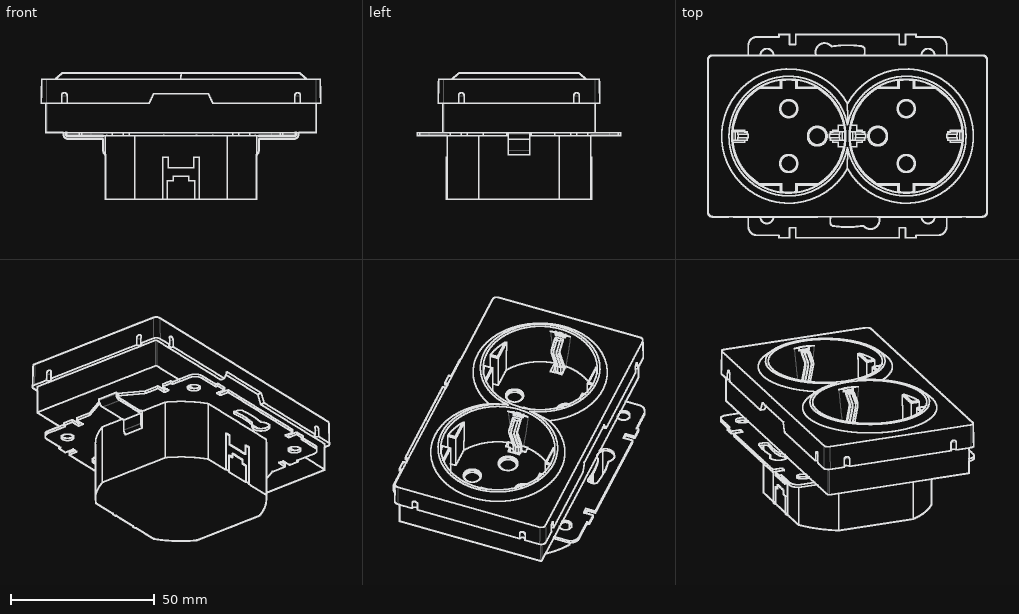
import cadquery as cq
import math

HOUSING_TOP = 22.2
PLATE_TOP = 23.1
BASE_TOP = 33.3
COVER_TOP = 41.8
RIM_TOP = 43.9

HOUSING_RADIUS = 29.7
HOUSING_X = 52.5
HOUSING_Y = 50.0

LATCH_RAISE = 0.3
LATCH_HEIGHT = 14.6
LATCH_WIDTH = 12.6
LATCH_GAP_WIDTH = 8.7
LATCH_GAP_BOTTOM = 11.0
WINDOW_WIDTH = 9.4
WINDOW_HEIGHT = 6.5
WINDOW_STEP_WIDTH = 5.5
WINDOW_STEP_HEIGHT = 8.1

PLATE_SIZE = 70.8
PLATE_BODY = 69.0
PLATE_CORNER = 3.1
LAND_WIDTH = 47.6
NOTCH_WIDTH = 2.0
NOTCH_DEPTH = 3.5
NOTCH_OFFSET = 19.05
SCREW_HOLE_DIAMETER = 4.5
SCREW_HOLE_X = 28.0
SCREW_HOLE_Y = 28.1
TONGUE_REACH = 39.9
TONGUE_ROOT_WIDTH = 24.7
TONGUE_TIP_WIDTH = 8.4

SLOT_INNER_RADIUS = 28.0
SLOT_OUTER_RADIUS = 31.6
SLOT_END_X = 5.9
SLOT_END_ROUND = 1.2
KEYHOLE_X = 8.0
KEYHOLE_Y = 29.2
KEYHOLE_RADIUS = 3.1

STRAP_WIDTH = 7.6
STRAP_THICKNESS = 0.9
STRAP_REACH = 40.9
STRAP_UNDERSIDE = 20.9
STRAP_BOTTOM = 15.2
STRAP_BEND = 1.8

BASE_X = 94.1
BASE_Y = 53.1
BASE_CORNER = 0.4
COVER_X = 97.2
COVER_Y = 56.3
COVER_CORNER = 1.75
COVER_INSET = 0.2
RECESS_TOP = 36.6
RECESS_BOTTOM_WIDTH = 22.2
RECESS_TOP_WIDTH = 19.05
GRIP_RADIUS = 1.0
GRIP_HEIGHT = 2.7
GRIP_X = 40.5
GRIP_Y = 20.0

SOCKET_X = 20.4
RIM_BASE_RADIUS = 23.3
RIM_TOP_RADIUS = 20.8
WELL_RADIUS = 19.8
WELL_FLOOR_RADIUS = 19.5
WELL_DEPTH = 17.7
WELL_FLOOR = RIM_TOP - WELL_DEPTH

GUIDE_Y = 16.6
GUIDE_TOP = 40.3
GUIDE_CHAMFER = 0.4
KEYWAY_WIDTH = 5.0
PAD_X = 19.4
PAD_TOP = 41.8
PAD_RECESS_DEPTH = 0.8
PAD_RECESS_WIDTH = 3.7
PAD_RECESS_BOTTOM = 40.6

PIN_Y = 9.5
PIN_DIAMETER = 5.6
PIN_RIM_DIAMETER = 6.2
CENTRE_HOLE_X = 9.9
CENTRE_HOLE_DIAMETER = 6.0
CENTRE_HOLE_RIM_DIAMETER = 6.8
HOLE_DEPTH = 1.3

SPRING_WIDTH = 2.9
SPRING_THICKNESS = 0.9
SPRING_ROOT_X = 19.4
SPRING_PEAK_X = 14.1
SPRING_PEAK_HEIGHT = 11.4
SPRING_TIP_X = 17.8
SPRING_TIP_HEIGHT = 14.2
SPRING_BEND = 1.2
BEAD_WIDTH = 1.2
BEAD_RAISE = 0.3
OPENING_X = 15.3
OPENING_WIDTH = 4.2
OPENING_DEPTH = 2.9
INNER_OPENING_X = 17.2
INNER_OPENING_WIDTH = 7.4


def block(x_min, x_max, width_y, z_min, z_max):
    """A box centred on the X axis."""
    return (
        cq.Workplane("XY", origin=((x_min + x_max) / 2, 0, z_min))
        .box(x_max - x_min, width_y, z_max - z_min, centered=(True, True, False))
    )


def slab(size_x, size_y, z_min, z_max):
    """A box centred on the Z axis."""
    return block(-size_x / 2, size_x / 2, size_y, z_min, z_max)


def disc(radius, z_min, z_max):
    return cq.Workplane("XY", origin=(0, 0, z_min)).circle(radius).extrude(z_max - z_min)


def cone(bottom_radius, top_radius, z_min, z_max):
    """A truncated cone on the Z axis."""
    return (
        cq.Workplane("XZ")
        .polyline([(0, z_min), (bottom_radius, z_min), (top_radius, z_max), (0, z_max)])
        .close()
        .revolve(360, (0, 0, 0), (0, 1, 0))
    )


def with_opposite(shape):
    """The shape together with its copy turned half a turn about Z."""
    return shape.union(shape.rotate((0, 0, 0), (0, 0, 1), 180))


def housing():
    body = disc(HOUSING_RADIUS, 0, HOUSING_TOP)
    body = body.intersect(slab(HOUSING_X, HOUSING_Y, 0, HOUSING_TOP))
    span_y = HOUSING_Y + 2 * LATCH_RAISE
    frame = slab(LATCH_WIDTH, span_y, 0, LATCH_HEIGHT)
    frame = frame.cut(slab(LATCH_GAP_WIDTH, span_y, LATCH_GAP_BOTTOM, LATCH_HEIGHT))
    frame = frame.cut(slab(WINDOW_WIDTH, span_y, 0, WINDOW_HEIGHT))
    frame = frame.cut(slab(WINDOW_STEP_WIDTH, span_y, 0, WINDOW_STEP_HEIGHT))
    return body.union(frame)


def keyhole_slot():
    """Arc-shaped slot with a round entry at its left end."""
    ring = disc(SLOT_OUTER_RADIUS, HOUSING_TOP, PLATE_TOP)
    ring = ring.cut(disc(SLOT_INNER_RADIUS, HOUSING_TOP, PLATE_TOP))
    window = block(-KEYHOLE_X, SLOT_END_X, PLATE_SIZE, HOUSING_TOP, PLATE_TOP)
    upper_half = slab(PLATE_SIZE, PLATE_SIZE, HOUSING_TOP, PLATE_TOP).translate((0, PLATE_SIZE / 2, 0))
    slot = ring.intersect(window).intersect(upper_half)
    slot = slot.edges("|Z and >X").fillet(SLOT_END_ROUND)
    entry = disc(KEYHOLE_RADIUS, HOUSING_TOP, PLATE_TOP).translate((-KEYHOLE_X, KEYHOLE_Y, 0))
    return slot.union(entry)


def mounting_plate():
    plate = slab(PLATE_BODY, PLATE_BODY, HOUSING_TOP, PLATE_TOP).edges("|Z").fillet(PLATE_CORNER)
    plate = plate.union(slab(LAND_WIDTH, PLATE_SIZE, HOUSING_TOP, PLATE_TOP))
    plate = plate.union(slab(PLATE_SIZE, LAND_WIDTH, HOUSING_TOP, PLATE_TOP))
    notch_centre = (PLATE_SIZE - NOTCH_DEPTH) / 2
    for side in (-1, 1):
        for offset in (-NOTCH_OFFSET, NOTCH_OFFSET):
            end_notch = slab(NOTCH_WIDTH, NOTCH_DEPTH, HOUSING_TOP, PLATE_TOP)
            plate = plate.cut(end_notch.translate((offset, side * notch_centre, 0)))
            side_notch = slab(NOTCH_DEPTH, NOTCH_WIDTH, HOUSING_TOP, PLATE_TOP)
            plate = plate.cut(side_notch.translate((side * notch_centre, offset, 0)))
        for hole_x in (-SCREW_HOLE_X, SCREW_HOLE_X):
            hole = disc(SCREW_HOLE_DIAMETER / 2, HOUSING_TOP, PLATE_TOP)
            plate = plate.cut(hole.translate((hole_x, side * SCREW_HOLE_Y, 0)))
    tongue = (
        cq.Workplane("XY", origin=(0, 0, HOUSING_TOP))
        .polyline([
            (0, -TONGUE_ROOT_WIDTH / 2),
            (PLATE_SIZE / 2, -TONGUE_ROOT_WIDTH / 2),
            (TONGUE_REACH, -TONGUE_TIP_WIDTH / 2),
            (TONGUE_REACH, TONGUE_TIP_WIDTH / 2),
            (PLATE_SIZE / 2, TONGUE_ROOT_WIDTH / 2),
            (0, TONGUE_ROOT_WIDTH / 2),
        ])
        .close()
        .extrude(PLATE_TOP - HOUSING_TOP)
    )
    plate = plate.union(with_opposite(tongue))
    return plate.cut(with_opposite(keyhole_slot()))


def strap():
    """Strip from the base frame, inward under the plate and down the housing wall."""
    wall = HOUSING_X / 2
    outside = wall + STRAP_THICKNESS
    leg = block(wall - STRAP_BEND, outside, STRAP_WIDTH, STRAP_BOTTOM, HOUSING_TOP)
    leg = leg.edges("|Y and >X and <Z").fillet(STRAP_BEND)
    arm = block(wall, STRAP_REACH, STRAP_WIDTH, STRAP_UNDERSIDE, PLATE_TOP)
    arm = arm.edges("|Y and >X and <Z").fillet(STRAP_BEND)
    hollow = block(
        outside,
        STRAP_REACH - STRAP_THICKNESS,
        STRAP_WIDTH,
        STRAP_UNDERSIDE + STRAP_THICKNESS,
        PLATE_TOP,
    )
    hollow = hollow.edges("|Y and >X and <Z").fillet(STRAP_BEND - STRAP_THICKNESS)
    return arm.cut(hollow).union(leg)


def base_frame():
    return slab(BASE_X, BASE_Y, PLATE_TOP, RECESS_TOP).edges("|Z").fillet(BASE_CORNER)


def grip_groove(x, y):
    """Upright half-round groove with a domed top, opening at the cover's lower edge."""
    dome_height = BASE_TOP + GRIP_HEIGHT
    groove = disc(GRIP_RADIUS, BASE_TOP, dome_height)
    dome = cq.Workplane("XY").sphere(GRIP_RADIUS).translate((0, 0, dome_height))
    return groove.union(dome).translate((x, y, 0))


def cover():
    height = COVER_TOP - BASE_TOP
    draft = math.degrees(math.atan(COVER_INSET / height))
    outline = cq.Sketch().rect(COVER_X, COVER_Y).vertices().fillet(COVER_CORNER)
    body = cq.Workplane("XY", origin=(0, 0, BASE_TOP)).placeSketch(outline).extrude(height, taper=draft)
    recess = (
        cq.Workplane("XZ")
        .polyline([
            (-RECESS_BOTTOM_WIDTH / 2, BASE_TOP),
            (RECESS_BOTTOM_WIDTH / 2, BASE_TOP),
            (RECESS_TOP_WIDTH / 2, RECESS_TOP),
            (-RECESS_TOP_WIDTH / 2, RECESS_TOP),
        ])
        .close()
        .extrude(COVER_Y / 2, both=True)
    )
    body = body.cut(recess)
    for side in (-1, 1):
        for offset in (-1, 1):
            body = body.cut(grip_groove(offset * GRIP_X, side * COVER_Y / 2))
            body = body.cut(grip_groove(side * COVER_X / 2, offset * GRIP_Y))
    return body


def rims():
    rim = cone(RIM_BASE_RADIUS, RIM_TOP_RADIUS, COVER_TOP, RIM_TOP)
    return with_opposite(rim.translate((SOCKET_X, 0, 0)))


def well():
    """Space of one socket: the round well less its guide blocks and contact pads."""
    space = cone(WELL_FLOOR_RADIUS, WELL_RADIUS, WELL_FLOOR, RIM_TOP)
    full = 2 * RIM_BASE_RADIUS
    guides = slab(full, full, WELL_FLOOR, GUIDE_TOP)
    guides = guides.cut(slab(full, 2 * GUIDE_Y, WELL_FLOOR, GUIDE_TOP))
    guides = guides.cut(slab(KEYWAY_WIDTH, full, WELL_FLOOR, GUIDE_TOP))
    guides = guides.faces(">Z").edges().chamfer(GUIDE_CHAMFER)
    pads = slab(full, full / 2, WELL_FLOOR, PAD_TOP)
    pads = pads.cut(slab(2 * PAD_X, full, WELL_FLOOR, PAD_TOP))
    recess_reach = 2 * (PAD_X + PAD_RECESS_DEPTH)
    recesses = slab(recess_reach, PAD_RECESS_WIDTH, PAD_RECESS_BOTTOM, PAD_TOP)
    return space.cut(guides).cut(pads).union(recesses)


def floor_hole(x, y, diameter, rim_diameter):
    """Blind hole with a chamfered mouth."""
    radius = diameter / 2
    rim_radius = rim_diameter / 2
    bevel = rim_radius - radius
    hole = disc(radius, WELL_FLOOR - HOLE_DEPTH, WELL_FLOOR)
    return hole.union(cone(radius, rim_radius, WELL_FLOOR - bevel, WELL_FLOOR)).translate((x, y, 0))


def floor_openings():
    """Holes and contact openings of the left socket; the other socket lies toward +X."""
    opening_floor = WELL_FLOOR - OPENING_DEPTH
    cuts = floor_hole(CENTRE_HOLE_X, 0, CENTRE_HOLE_DIAMETER, CENTRE_HOLE_RIM_DIAMETER)
    for pin_y in (-PIN_Y, PIN_Y):
        cuts = cuts.union(floor_hole(0, pin_y, PIN_DIAMETER, PIN_RIM_DIAMETER))
    opening = block(OPENING_X, PAD_X, OPENING_WIDTH, opening_floor, WELL_FLOOR)
    cuts = cuts.union(with_opposite(opening))
    return cuts.union(block(INNER_OPENING_X, PAD_X, INNER_OPENING_WIDTH, opening_floor, WELL_FLOOR))


def bent_strip(width, raise_height):
    """Spring strip on the +X side of a well, its inner face moved inward by raise_height."""
    root = WELL_FLOOR - OPENING_DEPTH
    peak = WELL_FLOOR + SPRING_PEAK_HEIGHT
    tip = WELL_FLOOR + SPRING_TIP_HEIGHT
    depth = SPRING_THICKNESS + raise_height
    strip = (
        cq.Workplane("XZ")
        .polyline([
            (SPRING_ROOT_X, root),
            (SPRING_ROOT_X, WELL_FLOOR),
            (SPRING_PEAK_X + SPRING_THICKNESS, peak),
            (SPRING_TIP_X + SPRING_THICKNESS, tip),
            (SPRING_TIP_X - raise_height, tip),
            (SPRING_PEAK_X - raise_height, peak),
            (SPRING_ROOT_X - depth, WELL_FLOOR),
            (SPRING_ROOT_X - depth, root),
        ])
        .close()
        .extrude(width / 2, both=True)
    )
    return strip.edges("|Y and <X").fillet(SPRING_BEND)


def spring():
    """Bent earth contact with a raised bead along its middle."""
    return bent_strip(SPRING_WIDTH, 0).union(bent_strip(BEAD_WIDTH, BEAD_RAISE))


body = housing().union(mounting_plate()).union(with_opposite(strap()))
body = body.union(base_frame()).union(cover()).union(rims())

socket_space = well().union(floor_openings()).cut(with_opposite(spring()))
result = body.cut(with_opposite(socket_space.translate((-SOCKET_X, 0, 0))))